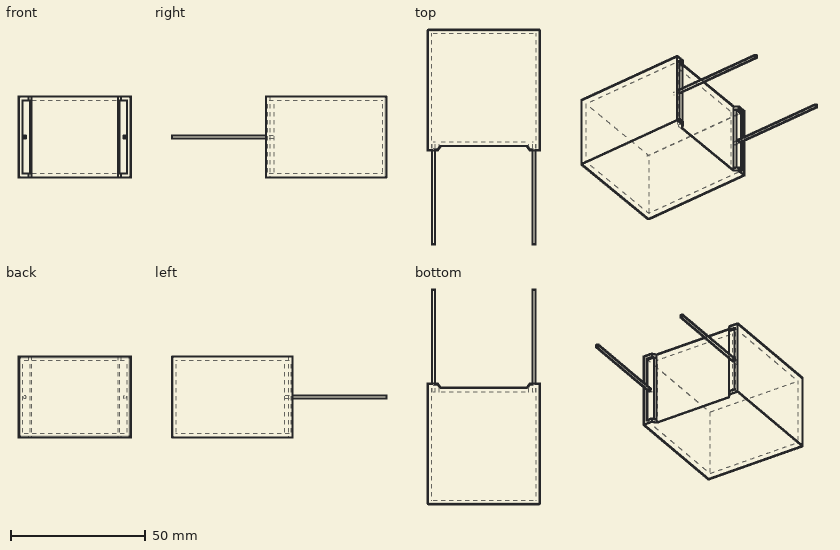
import cadquery as cq

CASE_WIDTH = 41.8
CASE_LENGTH = 45.0
CASE_HEIGHT = 30.3
BACK_FILLET = 0.6

FOOT_HEIGHT = 1.5
FOOT_TIP_WIDTH = 3.65
FOOT_BASE_WIDTH = 4.85

SIDE_WALL = 1.35
WALL = 1.5

FILLER_DEPTH = 0.65

LEAD_SPACING = 37.5
LEAD_DIAMETER = 1.2
LEAD_REACH = 35.1

HALF_WIDTH = CASE_WIDTH / 2
CAVITY_HALF_WIDTH = HALF_WIDTH - SIDE_WALL
CAVITY_HEIGHT = CASE_HEIGHT - 2 * WALL
CAVITY_FRONT = FOOT_HEIGHT + WALL
CAVITY_BACK = CASE_LENGTH - WALL

SLOPE_RUN = (FOOT_BASE_WIDTH - FOOT_TIP_WIDTH) * FILLER_DEPTH / FOOT_HEIGHT
WINDOW_INNER = HALF_WIDTH - FOOT_TIP_WIDTH - SLOPE_RUN

LEAD_START = CAVITY_FRONT
SIDES = (-1, 1)


def make_block(x_start, x_end, y_start, y_end, height):
    """Box between two X and two Y limits, centred on Z = 0."""
    return (
        cq.Workplane("XY")
        .box(x_end - x_start, y_end - y_start, height, centered=(True, False, True))
        .translate(((x_start + x_end) / 2, y_start, 0))
    )


def make_window(side, y_start):
    """Straight passage from y_start through one foot to the cavity."""
    x_start, x_end = sorted((side * WINDOW_INNER, side * CAVITY_HALF_WIDTH))
    return make_block(x_start, x_end, y_start, CAVITY_FRONT, CAVITY_HEIGHT)


def make_cavity(window_start):
    """Main block inside the case, joined to both foot windows."""
    cavity = make_block(
        -CAVITY_HALF_WIDTH, CAVITY_HALF_WIDTH, CAVITY_FRONT, CAVITY_BACK, CAVITY_HEIGHT
    )
    for side in SIDES:
        cavity = cavity.union(make_window(side, window_start))
    return cavity


def make_recess():
    """Trapezoidal channel between the feet, running the full case height."""
    base = HALF_WIDTH - FOOT_BASE_WIDTH
    mouth = HALF_WIDTH - FOOT_TIP_WIDTH
    return (
        cq.Workplane("XY")
        .polyline([(-mouth, 0), (-base, FOOT_HEIGHT), (base, FOOT_HEIGHT), (mouth, 0)])
        .close()
        .extrude(CASE_HEIGHT / 2, both=True)
    )


def make_case():
    outer = make_block(-HALF_WIDTH, HALF_WIDTH, 0, CASE_LENGTH, CASE_HEIGHT)
    outer = outer.faces(">Y").edges().fillet(BACK_FILLET)
    return outer.cut(make_recess()).cut(make_cavity(0))


def make_lead(side):
    return (
        cq.Workplane("XZ", origin=(side * LEAD_SPACING / 2, LEAD_START, 0))
        .circle(LEAD_DIAMETER / 2)
        .extrude(LEAD_START + LEAD_REACH)
    )


def make_filler(leads):
    """Filler set below the foot tips, with a hole where each lead enters."""
    filler = make_cavity(FILLER_DEPTH)
    for lead in leads:
        filler = filler.cut(lead)
    return filler


case = make_case()
leads = [make_lead(side) for side in SIDES]
filler = make_filler(leads)

result = cq.Compound.makeCompound([
    case.solids().val(),
    filler.solids().val(),
    *[lead.val() for lead in leads],
])